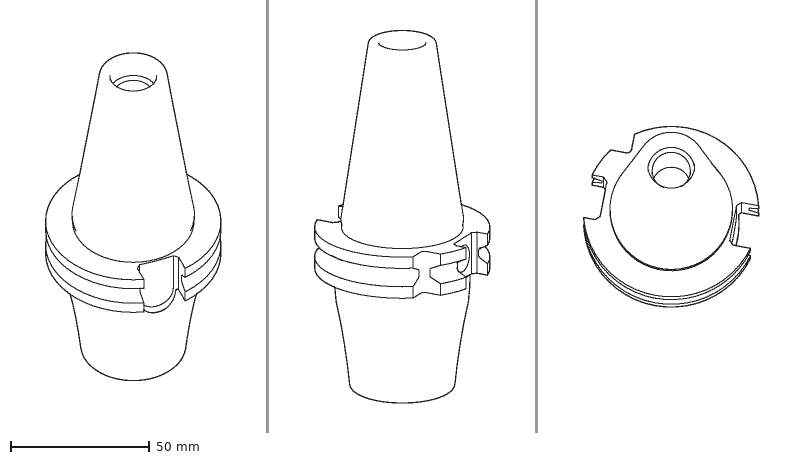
import cadquery as cq
import math


GAUGE_RADIUS = 44.45 / 2
TAPER_LENGTH = 68.4
TAPER_RATIO = 7 / 24
TAPER_END_RADIUS = GAUGE_RADIUS - TAPER_LENGTH * TAPER_RATIO / 2
TAPER_END_ROUNDING = 1.2

GAUGE_BAND_HEIGHT = 0.7
NECK_RADIUS = 22.0
NECK_CHAMFER_HEIGHT = 0.7
UNDERCUT_DEPTH = 0.3
UNDERCUT_FLOOR_RADIUS = 22.7
UNDERCUT_OUTER_RADIUS = 23.75

FLANGE_RADIUS = 63.55 / 2
FLANGE_TOP = -3.2
FLANGE_THICKNESS = 15.9
FLANGE_BOTTOM = FLANGE_TOP - FLANGE_THICKNESS
GROOVE_CENTRE = -11.1
GROOVE_HALF_WIDTH = 3.54
GROOVE_FLOOR_RADIUS = 28.3
GROOVE_HALF_ANGLE = math.radians(30)
GROOVE_ROUNDING = 1.0
GROOVE_FLOOR_HALF_WIDTH = (
    GROOVE_HALF_WIDTH - (FLANGE_RADIUS - GROOVE_FLOOR_RADIUS) * math.tan(GROOVE_HALF_ANGLE)
)

SLOT_WIDTH = 16.1
SLOT_FLOOR_NEGATIVE_X = 25.0
SLOT_FLOOR_POSITIVE_X = 22.8
SLOT_CORNER = 1.5
NOTCH_FLOOR_X = -18.5
NOTCH_FLOOR_Y = 18.5
NOTCH_ROUNDING = 1.6
CHIP_HOLE_DIAMETER = 10.0
CHIP_HOLE_DEPTH = 4.6
CENTRE_HOLE_DIAMETER = 0.8
CENTRE_HOLE_DEPTH = 0.5

BODY_END = -64.5
BODY_RADIUS = 24.6
BODY_FLANGE_FILLET = 0.6
BODY_STRAIGHT_END = -23.0
BODY_WAIST_Z = -40.0
BODY_WAIST_RADIUS = 22.35
BODY_END_RADIUS = 19.05
BODY_LOWER_SAG = 0.25
BODY_END_ROUNDING = 1.0

BORE_RADIUS = 8.5
BORE_DEPTH = 8.25
BORE_MOUTH_ROUNDING = 0.8
THREAD_CORE_RADIUS = 6.9
THREAD_DEPTH = 32.0
STEP_CONE_ANGLE = math.radians(60)
DRILL_HALF_ANGLE = math.radians(59)

CLEARANCE = 5.0


def make_shank_and_flange():
    """Taper, relieved neck and plain flange, turned as one profile."""
    neck_top = -GAUGE_BAND_HEIGHT - NECK_CHAMFER_HEIGHT
    profile = (
        cq.Workplane("XZ")
        .moveTo(0, TAPER_LENGTH)
        .lineTo(TAPER_END_RADIUS, TAPER_LENGTH)
        .lineTo(GAUGE_RADIUS, 0)
        .lineTo(GAUGE_RADIUS, -GAUGE_BAND_HEIGHT)
        .lineTo(NECK_RADIUS, neck_top)
        .lineTo(NECK_RADIUS, FLANGE_TOP - UNDERCUT_DEPTH)
        .lineTo(UNDERCUT_FLOOR_RADIUS, FLANGE_TOP - UNDERCUT_DEPTH)
        .lineTo(UNDERCUT_OUTER_RADIUS, FLANGE_TOP)
        .lineTo(FLANGE_RADIUS, FLANGE_TOP)
        .lineTo(FLANGE_RADIUS, FLANGE_BOTTOM)
        .lineTo(0, FLANGE_BOTTOM)
        .close()
    )
    turned = profile.revolve(360, (0, 0, 0), (0, 1, 0))
    return turned.faces(">Z").edges().fillet(TAPER_END_ROUNDING)


def make_groove():
    """V-groove around the flange with rounded floor corners."""
    extra = CLEARANCE * math.tan(GROOVE_HALF_ANGLE)
    outer_radius = FLANGE_RADIUS + CLEARANCE
    outer_half_width = GROOVE_HALF_WIDTH + extra
    ring = (
        cq.Workplane("XZ")
        .moveTo(outer_radius, GROOVE_CENTRE + outer_half_width)
        .lineTo(GROOVE_FLOOR_RADIUS, GROOVE_CENTRE + GROOVE_FLOOR_HALF_WIDTH)
        .lineTo(GROOVE_FLOOR_RADIUS, GROOVE_CENTRE - GROOVE_FLOOR_HALF_WIDTH)
        .lineTo(outer_radius, GROOVE_CENTRE - outer_half_width)
        .close()
        .revolve(360, (0, 0, 0), (0, 1, 0))
    )
    floor_corners = cq.selectors.RadiusNthSelector(0)
    return ring.edges(floor_corners).fillet(GROOVE_ROUNDING)


def make_body():
    """Chuck body: short cylinder, outward bow, inward bow, rounded end."""
    bow_height = BODY_STRAIGHT_END - BODY_WAIST_Z
    lower_middle_radius = (BODY_WAIST_RADIUS + BODY_END_RADIUS) / 2 - BODY_LOWER_SAG
    lower_middle_z = (BODY_WAIST_Z + BODY_END) / 2
    fillet_outer_radius = BODY_RADIUS + BODY_FLANGE_FILLET
    return (
        cq.Workplane("XZ")
        .moveTo(0, FLANGE_BOTTOM)
        .lineTo(fillet_outer_radius, FLANGE_BOTTOM)
        .radiusArc((BODY_RADIUS, FLANGE_BOTTOM - BODY_FLANGE_FILLET), -BODY_FLANGE_FILLET)
        .lineTo(BODY_RADIUS, BODY_STRAIGHT_END)
        .tangentArcPoint((BODY_WAIST_RADIUS - BODY_RADIUS, -bow_height))
        .threePointArc((lower_middle_radius, lower_middle_z), (BODY_END_RADIUS, BODY_END))
        .lineTo(0, BODY_END)
        .close()
        .revolve(360, (0, 0, 0), (0, 1, 0))
        .faces("<Z")
        .edges()
        .fillet(BODY_END_ROUNDING)
    )


def make_slot(floor_distance):
    """Drive slot on the +X side, ending in a half round centred on the flange's lower face."""
    length = FLANGE_RADIUS + CLEARANCE - floor_distance
    height = FLANGE_THICKNESS + CLEARANCE
    floor_plane = cq.Workplane("YZ", origin=(floor_distance, 0, 0))
    straight = (
        floor_plane.center(0, FLANGE_BOTTOM + height / 2).rect(SLOT_WIDTH, height).extrude(length)
    )
    round_end = floor_plane.center(0, FLANGE_BOTTOM).circle(SLOT_WIDTH / 2).extrude(length)
    return straight.union(round_end).faces("<X").edges().chamfer(SLOT_CORNER)


def make_notch():
    """Orientation notch through the flange, rounded in its inner corner."""
    size = FLANGE_RADIUS
    return (
        cq.Workplane("XY", origin=(0, 0, FLANGE_BOTTOM))
        .moveTo(NOTCH_FLOOR_X, NOTCH_FLOOR_Y)
        .rect(-size, size, centered=False)
        .extrude(FLANGE_THICKNESS)
        .edges("|Z and >X and <Y")
        .fillet(NOTCH_ROUNDING)
    )


def make_chip_hole():
    """Flat-bottomed hole in the floor of the -X slot, with a tiny centre hole in its bottom."""
    slot_floor = cq.Workplane("YZ", origin=(-SLOT_FLOOR_NEGATIVE_X, 0, GROOVE_CENTRE))
    hole = slot_floor.circle(CHIP_HOLE_DIAMETER / 2).extrude(CHIP_HOLE_DEPTH)
    centre_hole = slot_floor.circle(CENTRE_HOLE_DIAMETER / 2).extrude(CHIP_HOLE_DEPTH + CENTRE_HOLE_DEPTH)
    return hole.union(centre_hole)


def make_bore():
    """Stepped blind bore with a rounded mouth and a drilled point."""
    mouth_radius = BORE_RADIUS + BORE_MOUTH_ROUNDING
    step_z = TAPER_LENGTH - BORE_DEPTH
    step_height = (BORE_RADIUS - THREAD_CORE_RADIUS) / math.tan(STEP_CONE_ANGLE)
    core_end = TAPER_LENGTH - THREAD_DEPTH
    tip_z = core_end - THREAD_CORE_RADIUS / math.tan(DRILL_HALF_ANGLE)
    return (
        cq.Workplane("XZ")
        .moveTo(0, TAPER_LENGTH)
        .lineTo(mouth_radius, TAPER_LENGTH)
        .radiusArc((BORE_RADIUS, TAPER_LENGTH - BORE_MOUTH_ROUNDING), -BORE_MOUTH_ROUNDING)
        .lineTo(BORE_RADIUS, step_z)
        .lineTo(THREAD_CORE_RADIUS, step_z - step_height)
        .lineTo(THREAD_CORE_RADIUS, core_end)
        .lineTo(0, tip_z)
        .close()
        .revolve(360, (0, 0, 0), (0, 1, 0))
    )


slot_positive_x = make_slot(SLOT_FLOOR_POSITIVE_X)
slot_negative_x = make_slot(SLOT_FLOOR_NEGATIVE_X).rotate((0, 0, 0), (0, 0, 1), 180)

holder = make_shank_and_flange().cut(make_groove()).union(make_body())
holder = holder.cut(slot_positive_x).cut(slot_negative_x)
holder = holder.cut(make_notch()).cut(make_chip_hole()).cut(make_bore())

result = holder